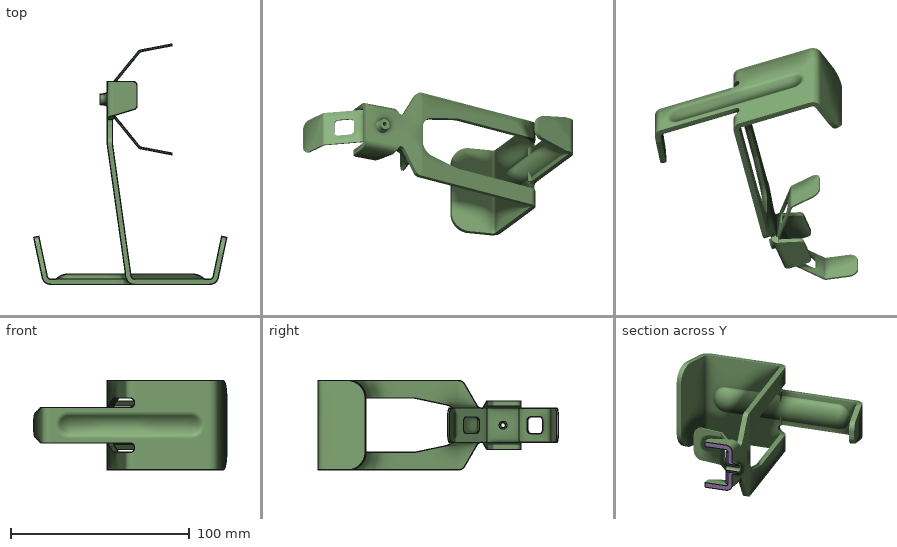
import cadquery as cq
import math


sheet = 3.0
bend_outer = 5.0
bracket_half_height = 25.0

plate_center_x = 12.9
overall_width = 108.0
arm_length = 22.9
arm_lean = 12.0
strip_half_height = 10.0
left_arm_taper_start = 3.0
left_arm_taper = 11.5
left_arm_corner_radius = 5.0
right_arm_corner_radius = 10.0

rib_depth = 3.0
rib_half_length = 41.7
rib_edge_radius = 3.5
rib_bottom_radius = 7.5

leg_plate_tangent_x = 15.35
leg_lean = 8.0
window_half_height = 15.1
window_taper_start_y = 54.1
window_end_y = 77.6
window_taper = 12.0
window_corner_radius = 7.5

neck_end_y = 113.5
neck_half_height = 9.6
shoulder_angle = 60.0
waist_corner_y = 89.75
waist_radius = 3.0
shoulder_radius = 4.0
flange_bend_outer = 4.0
flange_end_x = 16.8
flange_start_y = 94.4
flange_bend_start_y = 92.1
flange_edge_slope = 17.0
flange_corner_radius = 2.5

clip_sheet = 1.0
clip_half_height = 9.55
clip_base_half_length = 9.2
clip_arm_angle = 50.8
clip_arm_end_x = 17.9
clip_bend_inner = 1.0
clip_tip_end_x = 36.3
overall_top_y = 134.46
clip_tip_corner_radius = 5.0
clip_slot_length = 11.5
clip_slot_width = 9.4
clip_slot_corner_radius = 2.5

rivet_y = 103.45
collar_height = 4.1
collar_tip_radius = 2.95
collar_root_radius = 3.75
collar_hollow = 0.2
rivet_radius = 2.2
rivet_bore_radius = 1.3

bend_inner = bend_outer - sheet
arm_turn = 90 - arm_lean
plate_half_length = (
    overall_width / 2
    - bend_outer * math.sin(math.radians(arm_turn))
    - arm_length * math.sin(math.radians(arm_lean))
)
plate_left_x = plate_center_x - plate_half_length
plate_right_x = plate_center_x + plate_half_length
rib_side_angle = math.degrees(math.acos(1 - rib_depth / (rib_edge_radius + rib_bottom_radius)))
rib_half_width = (rib_edge_radius + rib_bottom_radius) * math.sin(math.radians(rib_side_angle))
rib_end_offset = rib_half_length - rib_half_width
slot_width = window_half_height - strip_half_height
slot_round_x = leg_plate_tangent_x - slot_width / 2
through = 200.0


def polar(center, radius, degrees):
    angle = math.radians(degrees)
    return (center[0] + radius * math.cos(angle), center[1] + radius * math.sin(angle))


def bend(center, start, end, outer, inner, half_height):
    """Curved sheet about a Z axis between two angles in degrees."""
    middle = (start + end) / 2
    return (
        cq.Workplane("XY", origin=(0, 0, -half_height))
        .moveTo(*polar(center, outer, start))
        .threePointArc(polar(center, outer, middle), polar(center, outer, end))
        .lineTo(*polar(center, inner, end))
        .threePointArc(polar(center, inner, middle), polar(center, inner, start))
        .close()
        .extrude(2 * half_height)
    )


def box(x0, x1, y0, y1, half_height):
    return cq.Workplane("XY").box(x1 - x0, y1 - y0, 2 * half_height).translate(
        ((x0 + x1) / 2, (y0 + y1) / 2, 0)
    )


def end_arm(outline, tangent_x, side, corner_radius):
    """End bend plus leaning arm; side is -1 for the left arm and +1 for the right one.

    The outline gives (distance along the arm, half height) from bend to free end.
    """
    center = (tangent_x, bend_outer)
    end_angle = -90 + side * arm_turn
    root = polar(center, bend_outer, end_angle)
    lean = math.radians(arm_lean)
    along = cq.Vector(side * math.sin(lean), math.cos(lean), 0)
    inward = cq.Vector(-side * math.cos(lean), math.sin(lean), 0)
    plane = cq.Plane(origin=(root[0], root[1], 0), xDir=along, normal=inward)
    mirrored = [(u, -half) for u, half in reversed(outline)]
    arm = cq.Workplane(plane).polyline(outline + mirrored).close().extrude(sheet)
    corner_edges = arm.edges(cq.selectors.ParallelDirSelector(inward))
    arm = corner_edges.edges(cq.selectors.CenterNthSelector(along, -1)).fillet(corner_radius)
    curve = bend(center, -90, end_angle, bend_outer, bend_inner, outline[0][1])
    return arm.union(curve, clean=False)


def left_arm():
    drop = (arm_length - left_arm_taper_start) * math.tan(math.radians(left_arm_taper))
    outline = [
        (0, strip_half_height),
        (left_arm_taper_start, strip_half_height),
        (arm_length, strip_half_height - drop),
    ]
    return end_arm(outline, plate_left_x, -1, left_arm_corner_radius)


def right_arm():
    outline = [(0, bracket_half_height), (arm_length, bracket_half_height)]
    return end_arm(outline, plate_right_x, 1, right_arm_corner_radius)


def rib_shell():
    """Pressed groove as a shell of sheet thickness, to be set into a through slot of its size.

    Each face is an edge arc that runs tangentially into the arc of the hollow.
    """
    edge_center = (rib_half_width, rib_edge_radius)
    bottom_center = (0, rib_depth - rib_bottom_radius)
    rear_edge_radius = rib_edge_radius - sheet
    rear_bottom_radius = rib_bottom_radius + sheet
    edge_middle = -90 - rib_side_angle / 2
    bottom_middle = 90 - rib_side_angle / 2
    bottom_end = 90 - rib_side_angle
    section = (
        cq.Workplane("XY")
        .moveTo(0, rib_depth)
        .threePointArc(
            polar(bottom_center, rib_bottom_radius, bottom_middle),
            polar(bottom_center, rib_bottom_radius, bottom_end),
        )
        .threePointArc(polar(edge_center, rib_edge_radius, edge_middle), (rib_half_width, 0))
        .lineTo(rib_half_width, sheet)
        .threePointArc(
            polar(edge_center, rear_edge_radius, edge_middle),
            polar(bottom_center, rear_bottom_radius, bottom_end),
        )
        .threePointArc(
            polar(bottom_center, rear_bottom_radius, bottom_middle),
            (0, rib_depth + sheet),
        )
        .close()
    )
    round_end = section.revolve(180, (0, 0, 0), (0, 1, 0))
    half_bar = section.toPending().extrude(2 * rib_end_offset)
    bar = half_bar.union(half_bar.mirror("YZ")).translate((0, 0, -rib_end_offset))
    for end in (round_end, round_end.mirror("XY")):
        toward = math.copysign(1, end.val().Center().z)
        bar = bar.union(end.translate((0, 0, toward * rib_end_offset)))
    return bar.rotate((0, 0, 0), (0, 1, 0), 90).translate((plate_center_x, 0, 0))


def rib_slot():
    return (
        cq.Workplane("XZ", origin=(plate_center_x, 0, 0))
        .slot2D(2 * rib_half_length, 2 * rib_half_width)
        .extrude(-sheet)
    )


def leg_and_neck():
    """Bent sheet from the front plate to the end of the neck, with its outline cut."""
    foot_center = (leg_plate_tangent_x, bend_outer)
    foot_end = polar(foot_center, bend_outer, 180 + leg_lean)
    lean = math.radians(leg_lean)
    corner_y = foot_end[1] + foot_end[0] / math.tan(lean)
    neck_start_y = corner_y + bend_outer * math.tan(lean / 2)
    neck_center = (bend_outer, neck_start_y)
    leg = (
        cq.Workplane("XY", origin=(0, 0, -bracket_half_height))
        .polyline([
            foot_end,
            polar(neck_center, bend_outer, 180 + leg_lean),
            polar(neck_center, bend_inner, 180 + leg_lean),
            polar(foot_center, bend_inner, 180 + leg_lean),
        ])
        .close()
        .extrude(2 * bracket_half_height)
    )
    neck = box(0, sheet, neck_start_y, neck_end_y, bracket_half_height)
    sheet_body = (
        leg.union(neck)
        .union(bend(foot_center, 180 + leg_lean, 270, bend_outer, bend_inner, bracket_half_height))
        .union(bend(neck_center, 180, 180 + leg_lean, bend_outer, bend_inner, bracket_half_height))
    )
    for side in (-1, 1):
        sheet_body = sheet_body.cut(shoulder_cut(side))
    return sheet_body.cut(window_cut())


def shoulder_cut(side):
    """Material beside the neck, up to the sloping shoulder."""
    slope = math.radians(shoulder_angle)
    high = bracket_half_height
    low = neck_half_height
    shoulder_y = waist_corner_y - (high - low) / math.tan(slope)
    shoulder_trim = shoulder_radius * math.tan(slope / 2)
    waist_trim = waist_radius * math.tan(slope / 2)
    shoulder_center = (shoulder_y - shoulder_trim, high - shoulder_radius)
    waist_center = (waist_corner_y + waist_trim, low + waist_radius)
    steep = 90 - shoulder_angle
    half_steep = 90 - shoulder_angle / 2
    upper = (
        cq.Workplane("YZ", origin=(-through / 2, 0, 0))
        .moveTo(shoulder_center[0], high)
        .threePointArc(
            polar(shoulder_center, shoulder_radius, half_steep),
            polar(shoulder_center, shoulder_radius, steep),
        )
        .lineTo(*polar(waist_center, waist_radius, 180 + steep))
        .threePointArc(
            polar(waist_center, waist_radius, 180 + half_steep),
            (waist_center[0], low),
        )
        .lineTo(neck_end_y, low)
        .lineTo(neck_end_y, high)
        .close()
        .extrude(through)
    )
    return upper if side > 0 else upper.mirror("XY")


def window_cut():
    """Tapered opening of the leg, running down through the bend into two plate slots."""
    drop = (window_end_y - window_taper_start_y) * math.tan(math.radians(window_taper))
    end_half = window_half_height - drop
    opening = (
        cq.Workplane("YZ", origin=(-through / 2, 0, 0))
        .polyline([
            (bend_outer, -window_half_height),
            (window_taper_start_y, -window_half_height),
            (window_end_y, -end_half),
            (window_end_y, end_half),
            (window_taper_start_y, window_half_height),
            (bend_outer, window_half_height),
        ])
        .close()
        .extrude(through)
        .edges("|X and >Y")
        .fillet(window_corner_radius)
    )
    foot = box(0, slot_round_x, 0, bend_outer, window_half_height)
    for side in (-1, 1):
        round_end = (
            cq.Workplane("XZ", origin=(0, bend_outer, 0))
            .center(slot_round_x, side * (strip_half_height + slot_width / 2))
            .circle(slot_width / 2)
            .extrude(bend_outer)
        )
        foot = foot.union(round_end)
    return opening.union(foot)


def flange(side):
    """Bent flange along one side of the neck, with its sloping lower edge."""
    bend_inner_radius = flange_bend_outer - sheet
    outer_z = neck_half_height + flange_bend_outer
    inner_z = outer_z - sheet
    curve = (
        bend(
            (flange_bend_outer, neck_half_height), 90, 180,
            flange_bend_outer, bend_inner_radius, neck_end_y / 2,
        )
        .translate((0, 0, -neck_end_y / 2))
        .rotate((0, 0, 0), (1, 0, 0), 90)
    )
    keep = (
        cq.Workplane("YZ")
        .polyline([
            (flange_bend_start_y, neck_half_height),
            (flange_start_y, outer_z),
            (neck_end_y, outer_z),
            (neck_end_y, neck_half_height),
        ])
        .close()
        .extrude(flange_bend_outer)
    )
    edge_rise = (flange_end_x - flange_bend_outer) * math.tan(math.radians(flange_edge_slope))
    leaf = (
        cq.Workplane("XY", origin=(0, 0, inner_z))
        .polyline([
            (flange_bend_outer, flange_start_y),
            (flange_end_x, flange_start_y + edge_rise),
            (flange_end_x, neck_end_y),
            (flange_bend_outer, neck_end_y),
        ])
        .close()
        .extrude(sheet)
        .edges("|Z and >X")
        .fillet(flange_corner_radius)
    )
    upper = curve.intersect(keep).union(leaf)
    return upper if side > 0 else upper.mirror("XY")


def rivet_cylinder(radius):
    """Cylinder on the rivet axis, from the collar tip to the inner face of the clip."""
    return (
        cq.Workplane("YZ", origin=(-collar_height, rivet_y, 0))
        .circle(radius)
        .extrude(collar_height + sheet + clip_sheet)
    )


def make_collar():
    """Collar on the outer face of the neck, flaring towards its root."""
    middle_radius = (collar_tip_radius + collar_root_radius) / 2 - collar_hollow
    return (
        cq.Workplane("XY")
        .moveTo(0, 0)
        .lineTo(-collar_height, 0)
        .lineTo(-collar_height, collar_tip_radius)
        .threePointArc((-collar_height / 2, middle_radius), (0, collar_root_radius))
        .close()
        .revolve(360, (0, 0, 0), (1, 0, 0))
        .translate((0, rivet_y, 0))
    )


def make_bracket():
    strip = box(plate_left_x, plate_right_x, 0, sheet, strip_half_height)
    wide_plate = box(leg_plate_tangent_x, plate_right_x, 0, sheet, bracket_half_height)
    slot_corners = box(
        slot_round_x, leg_plate_tangent_x, 0, sheet,
        strip_half_height + slot_width / 2,
    )
    body = leg_and_neck().union(slot_corners.cut(window_cut()))
    body = body.union(strip).union(wide_plate).union(left_arm()).union(right_arm())
    for side in (-1, 1):
        body = body.union(flange(side))
    body = body.cut(rib_slot()).union(rib_shell())
    return body.union(make_collar()).cut(rivet_cylinder(rivet_radius))


def make_clip():
    angle = math.radians(clip_arm_angle)
    corner_y = clip_base_half_length + (clip_arm_end_x - sheet) * math.tan(angle)
    tip_rise = overall_top_y - rivet_y - corner_y
    tip_angle = math.atan2(tip_rise, clip_tip_end_x - clip_arm_end_x)
    base_shift = clip_sheet * math.tan((math.pi / 2 - angle) / 2)
    mitre = clip_sheet / math.cos((angle - tip_angle) / 2)
    mitre_angle = (angle + tip_angle) / 2 - math.pi / 2
    outer = [
        (sheet, clip_base_half_length),
        (clip_arm_end_x, corner_y),
        (clip_tip_end_x, corner_y + tip_rise),
    ]
    inner = [
        (clip_tip_end_x, corner_y + tip_rise - clip_sheet / math.cos(tip_angle)),
        (clip_arm_end_x + mitre * math.cos(mitre_angle), corner_y + mitre * math.sin(mitre_angle)),
        (sheet + clip_sheet, clip_base_half_length - base_shift),
    ]
    half = outer + inner
    mirrored = [(x, -y) for x, y in reversed(half)]
    clip = (
        cq.Workplane("XY", origin=(0, rivet_y, -clip_half_height))
        .polyline(half + mirrored)
        .close()
        .extrude(2 * clip_half_height)
    )
    arm_bends = (
        (outer[1], clip_bend_inner + clip_sheet),
        (inner[1], clip_bend_inner),
    )
    for (x, y), radius in arm_bends:
        for side in (-1, 1):
            clip = clip.edges(cq.NearestToPointSelector((x, rivet_y + side * y, 0))).fillet(radius)
    tip_corners = (
        cq.Workplane("YZ", origin=(0, rivet_y, 0))
        .rect(through, 2 * clip_half_height)
        .extrude(clip_tip_end_x)
        .edges("|Y and >X")
        .fillet(clip_tip_corner_radius)
    )
    clip = clip.intersect(tip_corners)
    for side in (-1, 1):
        clip = clip.cut(clip_slot(side, angle, corner_y))
    return clip.cut(rivet_cylinder(rivet_radius))


def clip_slot(side, angle, corner_y):
    """Rounded rectangular opening in the middle of one clip arm."""
    plane = cq.Plane(
        origin=((sheet + clip_arm_end_x) / 2, rivet_y + side * (clip_base_half_length + corner_y) / 2, 0),
        xDir=(math.cos(angle), side * math.sin(angle), 0),
        normal=(math.sin(angle), -side * math.cos(angle), 0),
    )
    return (
        cq.Workplane(plane)
        .sketch()
        .rect(clip_slot_length, clip_slot_width)
        .vertices()
        .fillet(clip_slot_corner_radius)
        .finalize()
        .extrude(2 * clip_sheet, both=True)
    )


def make_rivet():
    """Tube through collar, neck and clip, flush at both ends."""
    return rivet_cylinder(rivet_radius).cut(rivet_cylinder(rivet_bore_radius))


bracket = make_bracket()
clip = make_clip()
rivet = make_rivet()

result = cq.Compound.makeCompound([bracket.val(), clip.val(), rivet.val()])